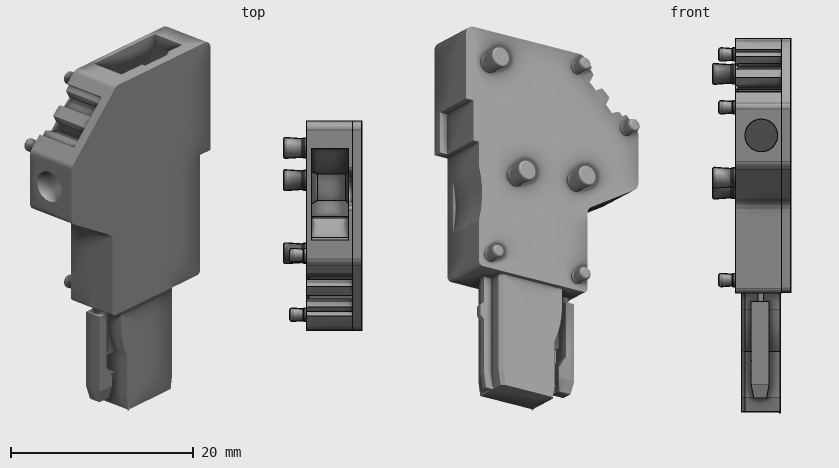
import cadquery as cq
import math


housing_thickness = 5.05
cover_thickness = 1.02
height = 41.0
depth = 22.9
stem_front = 6.75
stem_back = 21.2
shoulder_z = 27.65
front_top_z = 33.65
front_bottom_z = 26.95
top_front_y = 7.42
underside_angle = 30.0
housing_bottom = 13.1
cover_bottom = 13.2
corner_radius = 1.0
bottom_radius = 0.5

notch_depth = 0.95
notch_top = 32.35
scoop_depth = 0.4
scoop_bottom = 18.5
scoop_top = 24.72

groove_lip = 0.3

hole_diameter = 3.55
hole_x = 2.83
hole_z = 30.4
hole_depth = 6.15

pocket_left = 0.55
pocket_right = 4.6
pocket_front = 9.92
pocket_back = 19.93
pocket_floor_z = 34.28
floor_left = 1.2
floor_right = 4.25
floor_front = 14.23
floor_back = 17.1
left_bevel_height = 0.55
right_bevel_height = 0.4
back_wall_bottom = 39.73
back_ledge_depth = 0.1
back_ledge_height = 0.25
front_slope = [(10.15, 40.4), (12.3, 38.2)]
front_step_bottom = (12.45, 36.57)

window_middle = 15.5
window_half_width = 1.85
window_rim = 0.5
window_arc_half_width = 1.35
window_arc_z = 38.25
window_bottom = 37.15

large_pin_places = [(19.95, 37.1), (16.45, 24.55), (8.45, 25.75)]
small_pin_places = [(8.25, 39.25), (1.72, 33.45), (19.8, 14.55), (8.25, 14.55)]

nub_size = 0.12
plug_bottom = nub_size
plug_left = 0.65
plug_right = 4.9
plug_front_top = 9.45
plug_front = 10.4
plug_back = 17.88
plug_curve_top = 11.35
plug_curve_bottom = 6.72
plug_taper_height = 1.72
plug_taper = 0.25
bevel_x = 0.35
bevel_front = 0.265
bevel_back = 0.4
plug_middle = (plug_left + plug_right) / 2

rib_width = 0.65
rib_back = 18.8
bump_height = 0.5
bump_bottom = 8.05
bump_top = 10.15
bump_slope = 0.5

lever_middle = 2.7
lever_width = 1.95
lever_front = 7.35
lever_back = 8.45
lever_top = 12.2
lever_foot_back = 9.4
lever_slope_top = 5.8
lever_slope_bottom = 4.25
lever_foot_z = 3.1
lever_bottom = 1.65
foot_taper = 0.3
bridge_taper = 0.2
neck_width = 0.6
neck_front = 7.55
neck_back = 8.25
web_front = 8.95
web_radius = 0.33


def prism(points, x_start, x_end):
    """Closed (Y, Z) outline extruded along X."""
    return cq.Workplane("YZ", origin=(x_start, 0, 0)).polyline(points).close().extrude(x_end - x_start)


def block(x_range, y_range, z_range):
    """Box between the given limits."""
    size = [high - low for low, high in (x_range, y_range, z_range)]
    corner = (x_range[0], y_range[0], z_range[0])
    return cq.Workplane("XY").box(*size, centered=False).translate(corner)


def centred(middle, width):
    return (middle - width / 2, middle + width / 2)


def plate(x_start, thickness, bottom):
    """Plate with the outer outline, its corners rounded."""
    underside_z = front_bottom_z - stem_front * math.tan(math.radians(underside_angle))
    wide_corners = [
        (stem_front, underside_z),
        (0, front_bottom_z),
        (0, front_top_z),
        (top_front_y, height),
        (depth, height),
    ]
    shoulder = [(depth, shoulder_z), (stem_back, shoulder_z)]
    bottom_corners = [(stem_back, bottom), (stem_front, bottom)]
    body = prism(wide_corners + shoulder + bottom_corners, x_start, x_start + thickness)
    for corners, radius in ((wide_corners, corner_radius), (bottom_corners, bottom_radius)):
        for y, z in corners:
            at_corner = cq.selectors.NearestToPointSelector((x_start + thickness / 2, y, z))
            body = body.edges("|X").edges(at_corner).fillet(radius)
    return body


def back_notch():
    return block((0, housing_thickness), (depth - notch_depth, depth), (shoulder_z, notch_top))


def back_scoop():
    """Shallow arc cut into the back edge of the lower part."""
    middle = (stem_back - scoop_depth, (scoop_bottom + scoop_top) / 2)
    return (
        cq.Workplane("YZ")
        .moveTo(stem_back, scoop_bottom)
        .threePointArc(middle, (stem_back, scoop_top))
        .close()
        .extrude(housing_thickness)
    )


def grip_grooves():
    """Serrations cut into the slanted face, up to the cover."""
    outline = [
        (6.1, 39.85),
        (6.35, 39.5),
        (5.95, 39.0),
        (6.3, 38.25),
        (6.5, 38.0),
        (5.58, 37.15),
        (5.3, 37.4),
        (4.8, 37.65),
        (3.8, 36.75),
        (4.3, 35.85),
        (3.45, 34.95),
        (3.25, 35.15),
        (2.55, 35.4),
        (2.05, 34.9),
        (1.6, 35.15),
        (1.6, 39.85),
    ]
    upper_undercut = [(6.3, 38.25), (6.72, 37.85), (6.48, 37.5), (5.58, 37.15)]
    lower_undercut = [(4.3, 35.85), (4.55, 35.6), (4.55, 34.55), (3.45, 34.95)]
    grooves = prism(outline, 0, housing_thickness)
    for undercut in (upper_undercut, lower_undercut):
        grooves = grooves.union(prism(undercut, groove_lip, housing_thickness))
    return grooves


def front_hole():
    return (
        cq.Workplane("XZ", origin=(hole_x, 0, hole_z))
        .circle(hole_diameter / 2)
        .extrude(-hole_depth)
    )


def top_pocket():
    """Funnel: the front-to-back outline limited by the side-to-side outline."""
    lengthwise = prism(
        [
            (pocket_front, height),
            *front_slope,
            front_step_bottom,
            (floor_front, pocket_floor_z),
            (floor_back, pocket_floor_z),
            (pocket_back - back_ledge_depth, back_wall_bottom - back_ledge_height),
            (pocket_back, back_wall_bottom),
            (pocket_back, height),
        ],
        pocket_left,
        pocket_right,
    )
    crosswise = (
        cq.Workplane("XZ")
        .polyline(
            [
                (pocket_left, height),
                (pocket_left, pocket_floor_z + left_bevel_height),
                (floor_left, pocket_floor_z),
                (floor_right, pocket_floor_z),
                (pocket_right, pocket_floor_z + right_bevel_height),
                (pocket_right, height),
            ]
        )
        .close()
        .extrude(-depth)
    )
    return lengthwise.intersect(crosswise)


def pocket_window():
    """U-shaped opening with rounded rims through the wall between pocket and cover."""
    rim_drop = window_rim * (1 - math.sqrt(0.5))
    rim_y = window_half_width + window_rim
    rim_z = height - window_rim
    return (
        cq.Workplane("YZ", origin=(pocket_right, window_middle, 0))
        .moveTo(rim_y, height)
        .threePointArc((window_half_width + rim_drop, height - rim_drop), (window_half_width, rim_z))
        .lineTo(window_arc_half_width, window_arc_z)
        .threePointArc((0, window_bottom), (-window_arc_half_width, window_arc_z))
        .lineTo(-window_half_width, rim_z)
        .threePointArc((-window_half_width - rim_drop, height - rim_drop), (-rim_y, height))
        .close()
        .extrude(housing_thickness - pocket_right)
    )


def snap_pin(place, base, waist, rim, tip):
    """Pin along -X from the housing; each argument is (distance from the housing, radius).

    The base is straight, narrows to the waist, widens to the rim and ends in a rounded tip.
    """
    diagonal = math.sqrt(0.5)
    nose_middle = (
        rim[0] + (tip[0] - rim[0]) * diagonal,
        tip[1] + (rim[1] - tip[1]) * diagonal,
    )
    return (
        cq.Workplane("XY")
        .moveTo(0, 0)
        .lineTo(0, base[1])
        .lineTo(*base)
        .lineTo(*waist)
        .lineTo(*rim)
        .threePointArc(nose_middle, tip)
        .lineTo(tip[0], 0)
        .close()
        .revolve(360, (0, 0, 0), (1, 0, 0))
        .mirror("YZ")
        .translate((0, *place))
    )


def large_pin(place):
    return snap_pin(place, base=(0.25, 1.1), waist=(0.5, 1.02), rim=(2.25, 1.15), tip=(2.5, 0.95))


def small_pin(place):
    return snap_pin(place, base=(0.25, 0.75), waist=(0.35, 0.65), rim=(1.48, 0.75), tip=(1.85, 0.5))


def plug_outline(x, front_inset, back_inset):
    """Closed plug outline at the given X, narrowed at its front and back."""
    back = plug_back - back_inset
    return (
        cq.Workplane("YZ", origin=(x, 0, 0))
        .moveTo(plug_front_top + front_inset, housing_bottom)
        .lineTo(plug_front_top + front_inset, plug_curve_top)
        .tangentArcPoint((plug_front + front_inset, plug_curve_bottom), relative=False)
        .lineTo(plug_front + front_inset, plug_taper_height)
        .lineTo(plug_front + front_inset + plug_taper, plug_bottom)
        .lineTo(back - plug_taper, plug_bottom)
        .lineTo(back, plug_taper_height)
        .lineTo(back, housing_bottom)
        .close()
    )


def plug_block():
    """Plug with a curved front and a tapered end, bevelled along its pin-side face."""
    bevel_start = plug_left + bevel_x
    main = plug_outline(bevel_start, 0, 0).extrude(plug_right - bevel_start)
    outer_wire = plug_outline(bevel_start, 0, 0).val()
    inner_wire = plug_outline(plug_left, bevel_front, bevel_back).val()
    bevelled = cq.Solid.makeLoft([outer_wire, inner_wire], True)
    return main.union(cq.Workplane(bevelled))


def plug_rib():
    """Rib with a small bump on the back of the plug."""
    inner_y = plug_back - plug_taper
    outline = [
        (inner_y, plug_bottom),
        (rib_back - plug_taper, plug_bottom),
        (rib_back, plug_taper_height),
        (rib_back, bump_bottom),
        (rib_back + bump_height, bump_bottom + bump_slope),
        (rib_back + bump_height, bump_top - bump_slope),
        (rib_back, bump_top),
        (rib_back, housing_bottom),
        (inner_y, housing_bottom),
    ]
    return prism(outline, *centred(plug_middle, rib_width))


def plug_nub():
    """Tiny nub under the front corner of the plug, away from the pins."""
    front = plug_front + plug_taper
    return block(
        (plug_right - nub_size, plug_right), (front, front + nub_size), (plug_bottom - nub_size, plug_bottom)
    )


def lever_web():
    """Thin web between plug and lever, under the housing."""
    web = block(
        centred(plug_middle, neck_width),
        (web_front, plug_back - plug_taper),
        (plug_curve_bottom, housing_bottom),
    )
    return web.edges("|X and <Y and <Z").fillet(web_radius)


def lever():
    """Latch lever hanging from a thin neck, joined to the plug at its foot."""
    arm = prism(
        [
            (lever_front, lever_top),
            (lever_front, lever_foot_z),
            (lever_foot_back, lever_foot_z),
            (lever_foot_back, lever_slope_bottom),
            (lever_back, lever_slope_top),
            (lever_back, lever_top),
        ],
        *centred(lever_middle, lever_width),
    )
    foot_depth = lever_foot_back - lever_front
    foot_height = lever_foot_z - lever_bottom
    foot = (
        cq.Workplane("XY", origin=(lever_middle, lever_front + foot_depth / 2, lever_foot_z))
        .rect(lever_width, foot_depth)
        .workplane(offset=-foot_height)
        .rect(lever_width - 2 * foot_taper, foot_depth - 2 * foot_taper)
        .loft()
    )
    neck = block(
        centred(plug_middle, neck_width), (neck_front, neck_back), (lever_top, housing_bottom)
    )
    bridge = (
        cq.Workplane("XZ", origin=(plug_middle, lever_foot_back - foot_taper, 0))
        .polyline(
            [
                (-neck_width / 2, lever_slope_bottom),
                (-neck_width / 2, lever_foot_z),
                (-neck_width / 2 + bridge_taper, lever_bottom),
                (neck_width / 2 - bridge_taper, lever_bottom),
                (neck_width / 2, lever_foot_z),
                (neck_width / 2, lever_slope_bottom),
            ]
        )
        .close()
        .extrude(lever_foot_back - foot_taper - plug_front - plug_taper)
    )
    return arm.union(foot).union(neck).union(bridge)


def make_housing():
    body = plate(0, housing_thickness, housing_bottom)
    for cut in (back_notch(), back_scoop(), grip_grooves(), front_hole(), top_pocket(), pocket_window()):
        body = body.cut(cut)
    for place in large_pin_places:
        body = body.union(large_pin(place))
    for place in small_pin_places:
        body = body.union(small_pin(place))
    for piece in (plug_block(), plug_nub(), plug_rib(), lever_web(), lever()):
        body = body.union(piece)
    return body


def make_cover():
    return plate(housing_thickness, cover_thickness, cover_bottom)


housing = make_housing()
cover = make_cover()
result = cq.Compound.makeCompound([housing.val(), cover.val()])